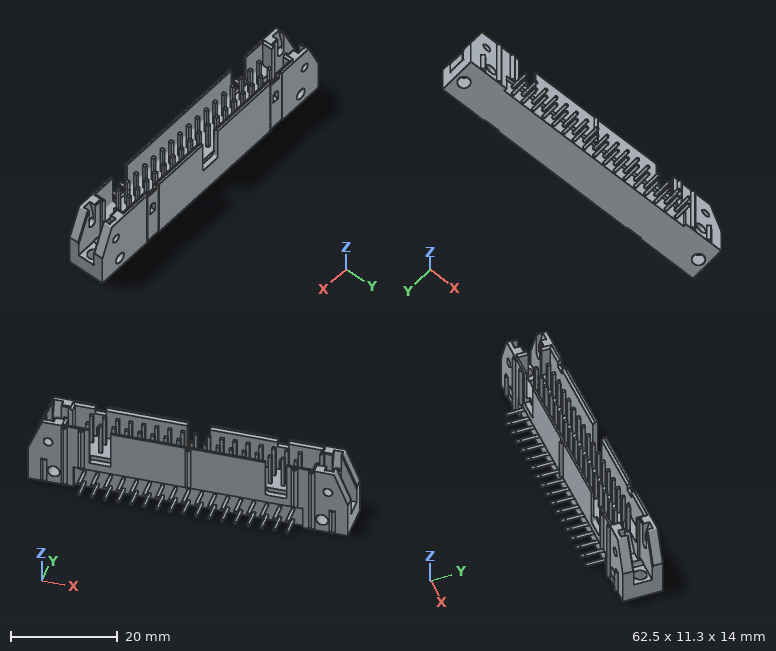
import cadquery as cq

LENGTH = 62.5
DEPTH = 8.05
HEIGHT = 13.95
HALF = LENGTH / 2

SHOULDER_Z = 7.25
SHOULDER_RUN = 2.75
SHOULDER_RADIUS = 0.4

FLOOR_Z = 7.2
CAVITY_LENGTH = 48.25
WALL = 1.0
FRONT_WALL = 0.45
RIM_WIDTH = 0.5
RIM_DROP = 0.4
FLOOR_RADIUS = 0.55

CHANNEL_FLOOR_Z = 3.7
CHANNEL_WIDTH = 3.7
CHANNEL_RUN = 6.3
CHANNEL_LIP = 0.2
CHANNEL_Y = 4.05
NECK_WIDTH = 2.75
RAMP_START = 7.9
RAMP_END = 10.3

PIVOT_X = 3.95
PIVOT_Z = 9.5
PIVOT_DIAMETER = 1.75
CROSS_HOLE_X = 5.05
CROSS_HOLE_Z = 2.75
CROSS_HOLE_DIAMETER = 2.4
MOUNT_HOLE_X = 2.0
MOUNT_HOLE_Y = 4.25
MOUNT_HOLE_DIAMETER = 2.5

GROOVE_TOP_DEPTH = 1.3
GROOVE_BOTTOM_DEPTH = 0.5
GROOVE_BOTTOM_Z = 10.9

SLOT_CENTRE = 17.2
SLOT_WIDTH = 4.2
SLOT_FLOOR_Z = 6.25
SLOT_DEPTH = 1.1
SLOT_RADIUS = 0.5
TAIL_RECESS_LENGTH = 44.75
TAIL_RECESS_HEIGHT = 4.55
TAIL_RECESS_DEPTH = 0.6

KEY_GAP = 4.4
NOTCH_CENTRES = (-19.1, 16.5)
NOTCH_WIDTH = 2.1
NOTCH_FLOOR_Z = 12.9
WINDOW_WIDTH = 1.45
WINDOW_TOP_Z = 9.7
RELIEF_WIDTH = 3.4
RELIEF_DEPTH = 0.2

RIB_WIDTH = 1.2
CENTRE_RIB_WIDTH = 1.05
RIB_HEIGHT = 0.5
RIB_BOTTOM_Z = 0.3
RIB_TOP_Z = 13.55
UPPER_RIB_BOTTOM_Z = 4.7
SHORT_RIB_TOP_Z = 5.3
SHORT_RIB_X = 28.2
LONG_RIB_X = 24.2
UPPER_RIB_X = 20.8

COLUMNS = 17
PIN_SPAN = 40.7
PITCH = PIN_SPAN / (COLUMNS - 1)
PIN_WIDTH = 0.6
PIN_TOP_Z = 13.45
FRONT_ROW_Y = 2.75
LOWER_TAIL_Z = 0.95
TAIL_REACH = 3.25
EMBED = 0.3


def box(x_min, x_max, y_min, y_max, z_min, z_max):
    size = (x_max - x_min, y_max - y_min, z_max - z_min)
    return cq.Workplane().box(*size, centered=False).translate((x_min, y_min, z_min))


def centred_box(x, width, y_min, y_max, z_min, z_max):
    return box(x - width / 2, x + width / 2, y_min, y_max, z_min, z_max)


def y_hole(x, z, diameter):
    """Cylinder along y through the whole depth."""
    return cq.Workplane("XZ").center(x, z).circle(diameter / 2).extrude(-DEPTH)


def mirrored(shape):
    """The shape at the left end together with its twin at the right end."""
    return shape.union(shape.mirror("YZ"))


def housing_block():
    outline = [
        (-HALF, 0),
        (HALF, 0),
        (HALF, SHOULDER_Z),
        (HALF - SHOULDER_RUN, HEIGHT),
        (-HALF + SHOULDER_RUN, HEIGHT),
        (-HALF, SHOULDER_Z),
    ]
    block = cq.Workplane("XZ").polyline(outline).close().extrude(-DEPTH)
    return block.edges("|Y and >Z").fillet(SHOULDER_RADIUS)


def cavity():
    """Pocket bevelled along the back and end rims, with a rounded floor along the front wall."""
    depth = DEPTH - WALL - FRONT_WALL
    pocket = centred_box(0, CAVITY_LENGTH, FRONT_WALL, FRONT_WALL + depth, FLOOR_Z, HEIGHT)
    pocket = pocket.faces("<Z").edges("<Y").fillet(FLOOR_RADIUS)
    bevel = (
        cq.Workplane("XY", origin=(0, FRONT_WALL + depth / 2, HEIGHT - RIM_DROP))
        .rect(CAVITY_LENGTH, depth)
        .workplane(offset=RIM_DROP)
        .center(0, RIM_WIDTH / 2)
        .rect(CAVITY_LENGTH + 2 * RIM_WIDTH, depth + RIM_WIDTH)
        .loft()
    )
    return pocket.union(bevel)


def latch_channel():
    """Open-ended channel, narrowing to a neck that ramps up to the cavity floor."""
    channel_end = -HALF + CHANNEL_RUN
    channel = box(
        -HALF,
        channel_end,
        CHANNEL_Y - CHANNEL_WIDTH / 2,
        CHANNEL_Y + CHANNEL_WIDTH / 2,
        CHANNEL_FLOOR_Z,
        HEIGHT,
    )
    neck_profile = [
        (channel_end, CHANNEL_FLOOR_Z),
        (-HALF + RAMP_START, CHANNEL_FLOOR_Z),
        (-HALF + RAMP_END, FLOOR_Z),
        (-HALF + RAMP_END, HEIGHT),
        (channel_end, HEIGHT),
    ]
    neck = (
        cq.Workplane("XZ", origin=(0, CHANNEL_Y, 0))
        .polyline(neck_profile)
        .close()
        .extrude(NECK_WIDTH / 2, both=True)
    )
    return channel.union(neck)


def bevel_channel_lips(block):
    """Bevel the channel's edges along the sloping shoulders and the top face."""
    for side in (-1, 1):
        lip_y = CHANNEL_Y + side * CHANNEL_WIDTH / 2
        lips = cq.selectors.BoxSelector(
            (-HALF, lip_y - CHANNEL_LIP, SHOULDER_Z),
            (HALF, lip_y + CHANNEL_LIP, HEIGHT + CHANNEL_LIP),
        )
        block = block.edges(lips).edges("not |Z").chamfer(CHANNEL_LIP)
    return block


def pivot_groove():
    """Grooves in both channel walls, deepest at the top, guiding the latch to its pivot."""
    wall_y = CHANNEL_WIDTH / 2
    section = [
        (-wall_y - GROOVE_TOP_DEPTH, HEIGHT),
        (-wall_y - GROOVE_BOTTOM_DEPTH, GROOVE_BOTTOM_Z),
        (-wall_y - GROOVE_BOTTOM_DEPTH, PIVOT_Z),
        (wall_y + GROOVE_BOTTOM_DEPTH, PIVOT_Z),
        (wall_y + GROOVE_BOTTOM_DEPTH, GROOVE_BOTTOM_Z),
        (wall_y + GROOVE_TOP_DEPTH, HEIGHT),
    ]
    return (
        cq.Workplane("YZ", origin=(-HALF + PIVOT_X, CHANNEL_Y, 0))
        .polyline(section)
        .close()
        .extrude(PIVOT_DIAMETER / 2, both=True)
    )


def end_holes():
    pivot = y_hole(-HALF + PIVOT_X, PIVOT_Z, PIVOT_DIAMETER)
    cross = y_hole(-HALF + CROSS_HOLE_X, CROSS_HOLE_Z, CROSS_HOLE_DIAMETER)
    mount = (
        cq.Workplane("XY", origin=(-HALF + MOUNT_HOLE_X, MOUNT_HOLE_Y, 0))
        .circle(MOUNT_HOLE_DIAMETER / 2)
        .extrude(HEIGHT)
    )
    return pivot.union(cross).union(mount)


def front_slots():
    """Two open-topped slots; only the right one has rounded lower corners."""
    left = centred_box(-SLOT_CENTRE, SLOT_WIDTH, 0, SLOT_DEPTH, SLOT_FLOOR_Z, HEIGHT)
    right = centred_box(SLOT_CENTRE, SLOT_WIDTH, 0, SLOT_DEPTH, SLOT_FLOOR_Z, HEIGHT)
    return left.union(right.edges("|Y and <Z").fillet(SLOT_RADIUS))


def tail_recess():
    return centred_box(0, TAIL_RECESS_LENGTH, 0, TAIL_RECESS_DEPTH, 0, TAIL_RECESS_HEIGHT)


def key_gap():
    """Polarising gap in the middle of the back wall, with rounded lower corners."""
    gap = centred_box(0, KEY_GAP, DEPTH - SLOT_DEPTH, DEPTH, SLOT_FLOOR_Z, HEIGHT)
    return gap.edges("|Y and <Z").fillet(SLOT_RADIUS)


def back_notch(x):
    """Outer relief, top notch with a bevelled sill, and an arched window below it."""
    inner_y = DEPTH - WALL
    relief = centred_box(x, RELIEF_WIDTH, DEPTH - RELIEF_DEPTH, DEPTH, 0, HEIGHT)
    sill_profile = [
        (inner_y, NOTCH_FLOOR_Z - RIM_DROP),
        (inner_y + RIM_WIDTH, NOTCH_FLOOR_Z),
        (DEPTH, NOTCH_FLOOR_Z),
        (DEPTH, HEIGHT),
        (inner_y, HEIGHT),
    ]
    notch = (
        cq.Workplane("YZ", origin=(x, 0, 0))
        .polyline(sill_profile)
        .close()
        .extrude(NOTCH_WIDTH / 2, both=True)
    )
    arch_z = WINDOW_TOP_Z - WINDOW_WIDTH / 2
    window = (
        cq.Workplane("XZ", origin=(x, inner_y, 0))
        .moveTo(-WINDOW_WIDTH / 2, FLOOR_Z)
        .lineTo(WINDOW_WIDTH / 2, FLOOR_Z)
        .lineTo(WINDOW_WIDTH / 2, arch_z)
        .threePointArc((0, WINDOW_TOP_Z), (-WINDOW_WIDTH / 2, arch_z))
        .close()
        .extrude(-WALL)
    )
    return relief.union(notch).union(window)


def rib(x, bottom, top, width=RIB_WIDTH):
    section = [(x - width / 2, 0), (x + width / 2, 0), (x, -RIB_HEIGHT)]
    return cq.Workplane("XY").workplane(offset=bottom).polyline(section).close().extrude(top - bottom)


def ribs():
    outer = rib(-SHORT_RIB_X, RIB_BOTTOM_Z, SHORT_RIB_TOP_Z)
    outer = outer.union(rib(-LONG_RIB_X, RIB_BOTTOM_Z, RIB_TOP_Z))
    outer = outer.union(rib(-UPPER_RIB_X, UPPER_RIB_BOTTOM_Z, RIB_TOP_Z))
    centre = rib(0, UPPER_RIB_BOTTOM_Z, RIB_TOP_Z, CENTRE_RIB_WIDTH)
    return mirrored(outer).union(centre)


def post(x, y):
    bottom = FLOOR_Z - EMBED
    return centred_box(x, PIN_WIDTH, y - PIN_WIDTH / 2, y + PIN_WIDTH / 2, bottom, PIN_TOP_Z)


def tail(x, z):
    root = TAIL_RECESS_DEPTH + EMBED
    section = cq.Workplane("XZ", origin=(x, root, z)).circle(PIN_WIDTH / 2)
    return section.extrude(root + TAIL_REACH)


def contacts():
    pins = cq.Workplane()
    for column in range(COLUMNS):
        x = -PIN_SPAN / 2 + column * PITCH
        for row in range(2):
            pins.add(post(x, FRONT_ROW_Y + row * PITCH))
            pins.add(tail(x, LOWER_TAIL_Z + row * PITCH))
    return pins.vals()


body = housing_block().cut(mirrored(latch_channel()))
body = bevel_channel_lips(body)
body = body.cut(cavity())
body = body.cut(mirrored(pivot_groove())).cut(mirrored(end_holes()))
body = body.cut(front_slots()).cut(tail_recess()).cut(key_gap())
for notch_x in NOTCH_CENTRES:
    body = body.cut(back_notch(notch_x))
body = body.union(ribs())

result = cq.Workplane(body.val().fuse(*contacts()))